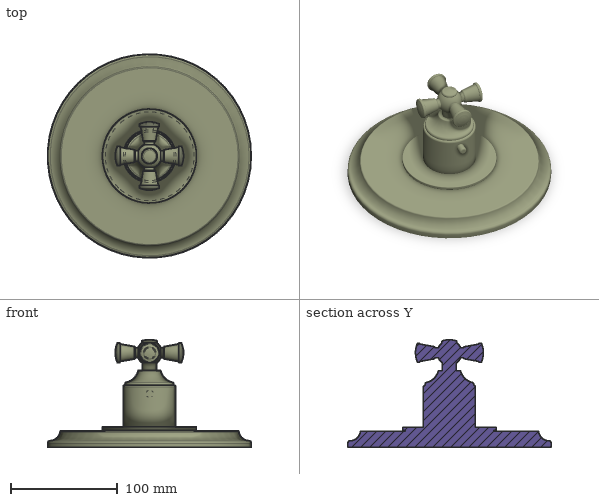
import cadquery as cq
import math

base_radius = 95.2
base_height = 15.6
rim_band_height = 4.2
rim_round = 2.3
base_cove_radius = 9.3
base_top_round = 1.1
base_top_radius = 82.7

seat_radius = 41.5
seat_height = 0.4
disc_radius = 44.0
disc_top = 19.2
disc_edge_round = 0.5

body_radius = 24.5
body_top = 58.3
body_edge_round = 1.7
cap_radius = 22.9
cap_band_height = 1.0
cap_foot_round = 2.0
cap_neck_radius = 10.7
cap_cove_radius = 14.3
cap_top = 72.2
cap_edge_round = 0.8

stem_radius = 6.9
hub_radius = 11.6
hub_height = 88.5
button_top = 101.0
button_face_radius = 5.7
button_dome_rise = 0.8
button_rim_round = 1.62

arm_count = 4
arm_neck_radius = 4.8
arm_cone_start = 13.1
arm_cone_start_radius = 6.0
arm_cone_edge = 1.0
arm_cone_end = 26.7
arm_cone_end_radius = 8.2
arm_flange_start = 27.5
arm_flange_end = 30.3
arm_flange_radius = 9.3
arm_flange_round = 1.0
arm_dome_start = 31.2
arm_dome_radius = 5.5
arm_tip = 32.0

pin_radius = 3.5
pin_height = 50.5
pin_tip = 32.0
pin_edge_round = 1.5

DIAGONAL = math.sqrt(0.5)


def revolve_about_z(profile):
    """Close a half profile on the Z axis and revolve it fully."""
    return profile.close().revolve(360, (0, 0, 0), (0, 1, 0))


def quarter_round(profile, start, end, center, radius):
    """Draw a line to start, then a convex quarter circle up and inward to end."""
    middle = (center[0] + radius * DIAGONAL, center[1] + radius * DIAGONAL)
    return profile.lineTo(*start).threePointArc(middle, end)


def make_base():
    rim_top = rim_band_height + rim_round
    rim_inner = base_radius - rim_round
    cove_top = base_height - base_top_round
    cove_center_z = rim_top + base_cove_radius
    cove_top_radius = rim_inner - math.sqrt(base_cove_radius**2 - (cove_center_z - cove_top) ** 2)
    cove_middle = (rim_inner - base_cove_radius * DIAGONAL, cove_center_z - base_cove_radius * DIAGONAL)
    profile = cq.Workplane("XZ").lineTo(base_radius, 0)
    profile = quarter_round(
        profile, (base_radius, rim_band_height), (rim_inner, rim_top), (rim_inner, rim_band_height), rim_round
    )
    profile = profile.threePointArc(cove_middle, (cove_top_radius, cove_top))
    profile = profile.tangentArcPoint((base_top_radius, base_height), relative=False)
    return revolve_about_z(profile.lineTo(0, base_height))


def make_escutcheon():
    seat = cq.Workplane("XY").workplane(offset=base_height).circle(seat_radius).extrude(seat_height)
    disc_bottom = base_height + seat_height
    disc = cq.Workplane("XY").workplane(offset=disc_bottom).circle(disc_radius).extrude(disc_top - disc_bottom)
    return seat.union(disc.edges("%CIRCLE").fillet(disc_edge_round))


def make_body():
    cap_band_top = body_top + cap_band_height
    cap_shoulder_top = cap_band_top + cap_foot_round
    cap_cove_top = cap_top - cap_edge_round
    profile = cq.Workplane("XZ").moveTo(0, disc_top).lineTo(body_radius, disc_top)
    body_flat_radius = body_radius - body_edge_round
    body_round_start = body_top - body_edge_round
    profile = quarter_round(
        profile,
        (body_radius, body_round_start),
        (body_flat_radius, body_top),
        (body_flat_radius, body_round_start),
        body_edge_round,
    )
    shoulder_radius = cap_radius - cap_foot_round
    profile = quarter_round(
        profile,
        (cap_radius, cap_band_top),
        (shoulder_radius, cap_shoulder_top),
        (shoulder_radius, cap_band_top),
        cap_foot_round,
    )
    profile = profile.radiusArc((cap_neck_radius, cap_cove_top), cap_cove_radius)
    profile = profile.tangentArcPoint((cap_neck_radius - cap_edge_round, cap_top), relative=False)
    return revolve_about_z(profile.lineTo(0, cap_top))


def make_hub():
    stem = cq.Workplane("XY").workplane(offset=cap_top).circle(stem_radius).extrude(hub_height - cap_top)
    ball = cq.Workplane("XY").sphere(hub_radius).translate((0, 0, hub_height))
    face_edge_height = button_top - button_dome_rise
    rim_middle = (button_face_radius + button_rim_round, face_edge_height - button_rim_round)
    profile = (
        cq.Workplane("XZ")
        .moveTo(0, hub_height)
        .lineTo(button_face_radius, hub_height)
        .lineTo(button_face_radius, face_edge_height - 2 * button_rim_round)
        .threePointArc(rim_middle, (button_face_radius, face_edge_height))
    )
    dome_radius = (button_face_radius**2 + button_dome_rise**2) / (2 * button_dome_rise)
    profile = profile.radiusArc((0, button_top), -dome_radius)
    return stem.union(ball).union(revolve_about_z(profile))


def make_arm():
    """Build one arm along +X, revolved from its half profile."""
    shoulder_radius = arm_flange_radius - arm_flange_round
    band_start = arm_flange_start + arm_flange_round
    band_end = arm_flange_end - arm_flange_round
    round_height = shoulder_radius + arm_flange_round * DIAGONAL
    start_round_middle = (band_start - arm_flange_round * DIAGONAL, round_height)
    end_round_middle = (band_end + arm_flange_round * DIAGONAL, round_height)
    dome_rise = arm_tip - arm_dome_start
    dome_radius = (arm_dome_radius**2 + dome_rise**2) / (2 * dome_rise)
    profile = (
        cq.Workplane("XZ")
        .lineTo(0, arm_neck_radius)
        .lineTo(arm_cone_start, arm_neck_radius)
        .lineTo(arm_cone_start, arm_cone_start_radius - arm_cone_edge)
        .lineTo(arm_cone_start + arm_cone_edge, arm_cone_start_radius)
        .lineTo(arm_cone_end, arm_cone_end_radius)
        .lineTo(arm_flange_start, shoulder_radius)
        .threePointArc(start_round_middle, (band_start, arm_flange_radius))
        .lineTo(band_end, arm_flange_radius)
        .threePointArc(end_round_middle, (arm_flange_end, shoulder_radius))
        .lineTo(arm_dome_start, arm_dome_radius)
        .radiusArc((arm_tip, 0), dome_radius)
        .close()
    )
    return profile.revolve(360, (0, 0, 0), (1, 0, 0)).translate((0, 0, hub_height))


def make_pin():
    """Build the limit pin, rooted at the body axis and pointing along +Y."""
    pin = cq.Workplane("XZ").circle(pin_radius).extrude(-pin_tip)
    return pin.faces(">Y").edges().fillet(pin_edge_round).translate((0, 0, pin_height))


result = make_base().union(make_escutcheon()).union(make_body()).union(make_hub()).union(make_pin())
arm = make_arm()
for index in range(arm_count):
    result = result.union(arm.rotate((0, 0, 0), (0, 0, 1), index * 360 / arm_count))